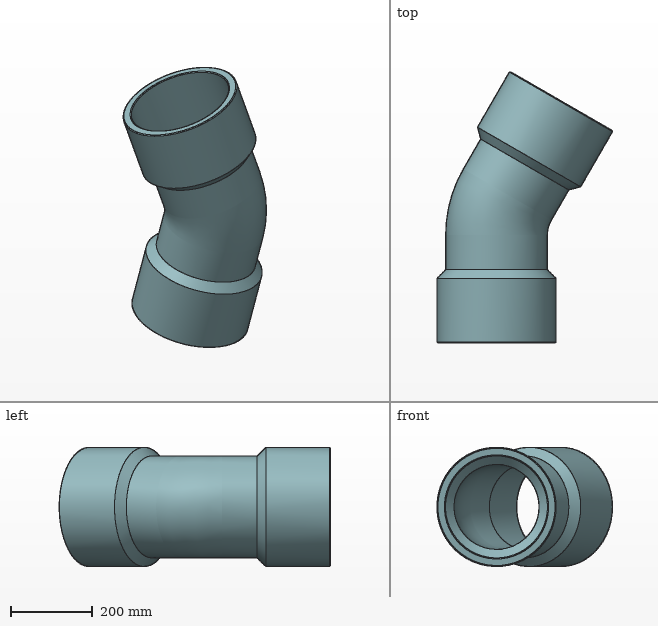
import cadquery as cq

bend_angle = 30.0
bend_radius = 198.0
leg_length = 264.5
pipe_diameter = 250.0
bore_diameter = 208.0
sleeve_diameter = 292.0
sleeve_length = 158.0
socket_depth = 151.5
mouth_chamfer_depth = 2.0
mouth_chamfer_width = 2.5

pipe_radius = pipe_diameter / 2
bore_radius = bore_diameter / 2
sleeve_radius = sleeve_diameter / 2
socket_radius = pipe_radius
cone_length = sleeve_radius - pipe_radius
socket_cone_length = socket_radius - bore_radius


def make_leg():
    """Socket leg revolved about +Y, with its mouth at Y = 0 and the bend end at +Y."""
    profile = [
        (socket_radius + mouth_chamfer_width, 0),
        (sleeve_radius - mouth_chamfer_width, 0),
        (sleeve_radius, mouth_chamfer_depth),
        (sleeve_radius, sleeve_length),
        (pipe_radius, sleeve_length + cone_length),
        (pipe_radius, leg_length),
        (bore_radius, leg_length),
        (bore_radius, socket_depth + socket_cone_length),
        (socket_radius, socket_depth),
        (socket_radius, mouth_chamfer_depth),
    ]
    return cq.Workplane("XY").polyline(profile).close().revolve(360, (0, 0, 0), (0, 1, 0))


def make_bend():
    """Pipe ring swept from the first leg toward +X about a vertical axis."""
    ring = cq.Workplane("XZ", origin=(0, leg_length, 0)).circle(pipe_radius).circle(bore_radius)
    return ring.revolve(bend_angle, (bend_radius, 0, 0), (bend_radius, -1, 0))


first_leg = make_leg()
bend = make_bend()

bend_centre = (bend_radius, leg_length, 0)
bend_axis_end = (bend_radius, leg_length, 1)
second_leg = (
    first_leg.mirror("XZ", (0, leg_length, 0))
    .rotate(bend_centre, bend_axis_end, -bend_angle)
)

result = first_leg.union(bend).union(second_leg)